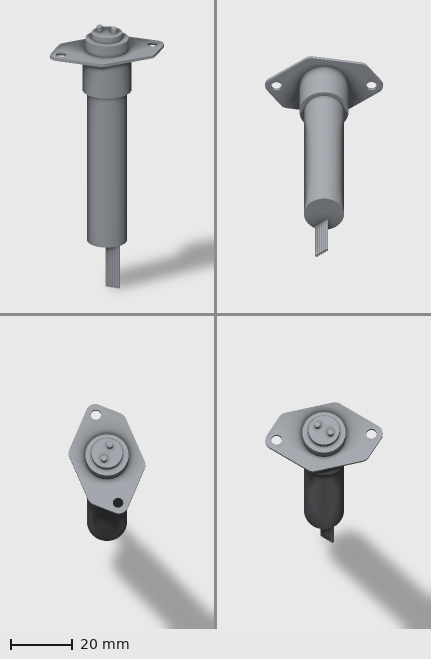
import cadquery as cq

CABLE_LENGTH = 15.0
TUBE_DIAMETER = 13.0
TUBE_LENGTH = 53.0
BODY_DIAMETER = 16.0
BODY_LENGTH = 13.0
FLANGE_THICKNESS = 1.0
COLLAR_DIAMETER = 14.0
COLLAR_HEIGHT = 4.0
INSERT_DIAMETER = 10.0
INSERT_HEIGHT = 2.0

FLANGE_LENGTH = 32.0
FLANGE_WIDTH = 25.0
FLANGE_CORNER_CUT = 13.0
FLANGE_CORNER_RADIUS = 3.0
SCREW_HOLE_DIAMETER = 3.4
SCREW_HOLE_X = 12.5
SCREW_HOLE_Y = 9.0

PIN_DIAMETER = 2.0
PIN_CHAMFER = 0.2
PIN_HEIGHT = 2.0
PIN_SPACING = 5.0

WIRE_COUNT = 6
WIRE_DIAMETER = 1.0
WIRE_PITCH = 0.8
CABLE_X = 2.95
CABLE_Y = -2.8

BODY_BOTTOM = -BODY_LENGTH
TUBE_BOTTOM = BODY_BOTTOM - TUBE_LENGTH
CABLE_BOTTOM = TUBE_BOTTOM - CABLE_LENGTH
FLANGE_TOP = FLANGE_THICKNESS
COLLAR_TOP = FLANGE_TOP + COLLAR_HEIGHT
INSERT_TOP = COLLAR_TOP + INSERT_HEIGHT


def cylinder(diameter, bottom, height, x=0.0, y=0.0):
    """Upright cylinder standing on the level `bottom`."""
    return cq.Workplane("XY", origin=(x, y, bottom)).circle(diameter / 2).extrude(height)


def make_flange():
    half_length = FLANGE_LENGTH / 2
    half_width = FLANGE_WIDTH / 2
    outline = [
        (-half_length, -half_width),
        (half_length - FLANGE_CORNER_CUT, -half_width),
        (half_length, -half_width + FLANGE_CORNER_CUT),
        (half_length, half_width),
        (-half_length + FLANGE_CORNER_CUT, half_width),
        (-half_length, half_width - FLANGE_CORNER_CUT),
    ]
    plate = cq.Workplane("XY").polyline(outline).close().extrude(FLANGE_THICKNESS)
    plate = plate.edges("|Z").fillet(FLANGE_CORNER_RADIUS)
    screw_holes = [(SCREW_HOLE_X, SCREW_HOLE_Y), (-SCREW_HOLE_X, -SCREW_HOLE_Y)]
    return plate.faces(">Z").workplane(origin=(0, 0, 0)).pushPoints(screw_holes).hole(SCREW_HOLE_DIAMETER)


def make_barrel():
    tube = cylinder(TUBE_DIAMETER, TUBE_BOTTOM, TUBE_LENGTH)
    body = cylinder(BODY_DIAMETER, BODY_BOTTOM, BODY_LENGTH)
    collar = cylinder(COLLAR_DIAMETER, FLANGE_TOP, COLLAR_HEIGHT)
    insert = cylinder(INSERT_DIAMETER, COLLAR_TOP, INSERT_HEIGHT)
    return tube.union(body).union(make_flange()).union(collar).union(insert)


def make_pin(x):
    return cylinder(PIN_DIAMETER, INSERT_TOP, PIN_HEIGHT, x).faces(">Z").chamfer(PIN_CHAMFER)


def make_cable():
    first_wire_x = CABLE_X - WIRE_PITCH * (WIRE_COUNT - 1) / 2
    cable = cylinder(WIRE_DIAMETER, CABLE_BOTTOM, CABLE_LENGTH, first_wire_x, CABLE_Y)
    for index in range(1, WIRE_COUNT):
        wire_x = first_wire_x + index * WIRE_PITCH
        cable = cable.union(cylinder(WIRE_DIAMETER, CABLE_BOTTOM, CABLE_LENGTH, wire_x, CABLE_Y))
    return cable


result = make_barrel().union(make_cable())
for pin_x in (-PIN_SPACING / 2, PIN_SPACING / 2):
    result = result.union(make_pin(pin_x))